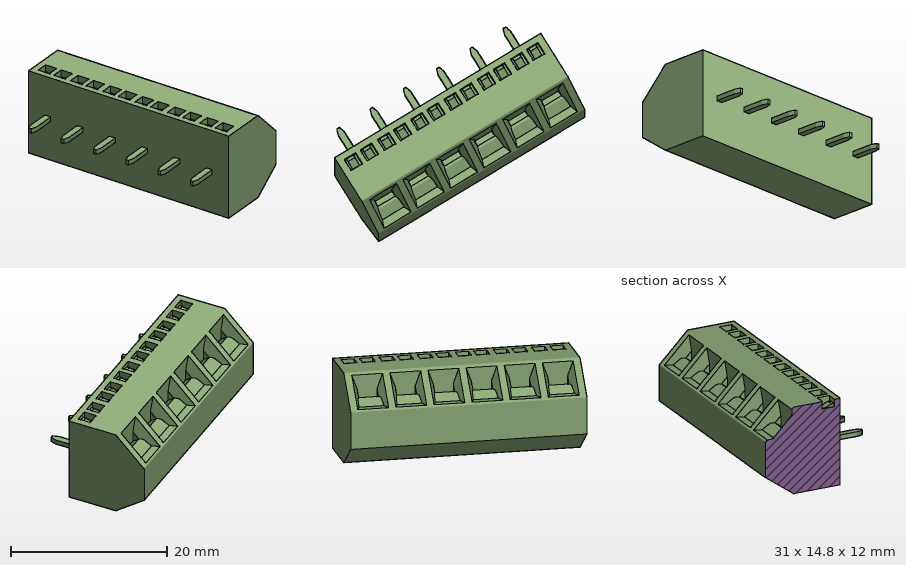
import cadquery as cq
import math

POLES = 6
PITCH = 5.0
BODY_LENGTH = 31.0
BODY_DEPTH = 10.8
BODY_HEIGHT = 12.0
TOP_BEVEL = 4.1
BOTTOM_BEVEL_DEPTH = 4.1
BOTTOM_BEVEL_HEIGHT = 3.0
BEVEL_EDGE_RADIUS = 0.25

ENTRY_WIDTH = 4.05
ENTRY_INNER_WIDTH = 2.6
ENTRY_TAPER_DEPTH = 1.38
ENTRY_BACK_MARGIN = 0.27
ENTRY_RUN = 3.55
ENTRY_LEDGE = 1.04
RAMP_RUN = 0.87
RAMP_ANGLE = 35.0
CREST_RADIUS = 0.97
CREST_END_ANGLE = 15.0

SLOT_SIZE = 1.7
SLOT_OFFSET = 1.2
SLOT_FRONT_MARGIN = 0.85
SLOT_DEPTH = 1.0
KEY_WIDTH = 1.04
KEY_HEIGHT = 0.4
KEY_FLAT = 0.38
KEY_RUN = 1.5

PIN_WIDTH = 0.9
PIN_THICKNESS = 0.65
PIN_LENGTH = 4.0
PIN_TIP_LENGTH = 0.8
PIN_TIP_WIDTH = 0.4
PIN_HEIGHT = 6.0

POLE_POSITIONS = [(i - (POLES - 1) / 2) * PITCH for i in range(POLES)]


def extrude_along_x(profile, width):
    """Extrude a closed YZ profile symmetrically about X = 0."""
    return profile.extrude(width / 2, both=True)


def make_housing():
    profile = (
        cq.Workplane("YZ")
        .moveTo(0, 0)
        .lineTo(BODY_DEPTH - BOTTOM_BEVEL_DEPTH, 0)
        .lineTo(BODY_DEPTH, BOTTOM_BEVEL_HEIGHT)
        .lineTo(BODY_DEPTH, BODY_HEIGHT - TOP_BEVEL)
        .lineTo(BODY_DEPTH - TOP_BEVEL, BODY_HEIGHT)
        .lineTo(0, BODY_HEIGHT)
        .close()
    )
    housing = extrude_along_x(profile, BODY_LENGTH)
    middle = TOP_BEVEL / 2
    bevel_centre = (0, BODY_DEPTH - middle, BODY_HEIGHT - middle)
    bevel_face = cq.selectors.NearestToPointSelector(bevel_centre)
    return housing.faces(bevel_face).edges("|X").fillet(BEVEL_EDGE_RADIUS)


def make_entry_cutter():
    """Wire entry for a pole at X = 0: a side profile limited by tapered side walls."""
    back = BODY_DEPTH - ENTRY_BACK_MARGIN
    ledge_z = BODY_HEIGHT - TOP_BEVEL + ENTRY_BACK_MARGIN
    front = back - ENTRY_RUN

    slope = math.radians(RAMP_ANGLE)
    ramp_start_y = back - ENTRY_LEDGE
    ramp_end_y = ramp_start_y - RAMP_RUN
    ramp_end_z = ledge_z + RAMP_RUN * math.tan(slope)

    centre_y = ramp_end_y - CREST_RADIUS * math.sin(slope)
    centre_z = ramp_end_z - CREST_RADIUS * math.cos(slope)
    crest_end = math.radians(CREST_END_ANGLE)
    crest_end_y = centre_y - CREST_RADIUS * math.sin(crest_end)
    crest_end_z = centre_z + CREST_RADIUS * math.cos(crest_end)
    floor_end_z = crest_end_z - (crest_end_y - front) * math.tan(slope)

    clearance = 1.0
    profile = (
        cq.Workplane("YZ")
        .moveTo(back, ledge_z)
        .lineTo(ramp_start_y, ledge_z)
        .lineTo(ramp_end_y, ramp_end_z)
        .threePointArc((centre_y, centre_z + CREST_RADIUS), (crest_end_y, crest_end_z))
        .lineTo(front, floor_end_z)
        .lineTo(front, ledge_z + ENTRY_RUN)
        .lineTo(front + clearance, ledge_z + ENTRY_RUN + clearance)
        .lineTo(back + clearance, ledge_z + clearance)
        .close()
    )
    prism = extrude_along_x(profile, ENTRY_WIDTH)

    section_plane = cq.Plane(origin=(0, back, ledge_z), xDir=(1, 0, 0), normal=(0, -1, 1))
    half_outer = ENTRY_WIDTH / 2
    half_inner = ENTRY_INNER_WIDTH / 2
    reach = BODY_HEIGHT
    outline = [
        (-half_outer, reach),
        (-half_outer, 0),
        (-half_inner, -ENTRY_TAPER_DEPTH),
        (-half_inner, -reach),
        (half_inner, -reach),
        (half_inner, -ENTRY_TAPER_DEPTH),
        (half_outer, 0),
        (half_outer, reach),
    ]
    walls = cq.Workplane(section_plane).polyline(outline).close().extrude(reach, both=True)
    return prism.intersect(walls)


def make_slot_cutter():
    """Release slot centred on X = 0, leaving a sloped key standing on its floor."""
    floor_z = BODY_HEIGHT - SLOT_DEPTH
    slot = (
        cq.Workplane("XY", origin=(0, SLOT_FRONT_MARGIN + SLOT_SIZE / 2, floor_z))
        .rect(SLOT_SIZE, SLOT_SIZE)
        .extrude(SLOT_DEPTH)
    )
    key_profile = (
        cq.Workplane("YZ", origin=(0, SLOT_FRONT_MARGIN, floor_z))
        .moveTo(0, 0)
        .lineTo(KEY_RUN, 0)
        .lineTo(KEY_FLAT, KEY_HEIGHT)
        .lineTo(0, KEY_HEIGHT)
        .close()
    )
    return slot.cut(extrude_along_x(key_profile, KEY_WIDTH))


def make_pin():
    """Flat solder pin at X = 0 with a tapered tip, pointing along -Y."""
    half_width = PIN_WIDTH / 2
    half_tip = PIN_TIP_WIDTH / 2
    shoulder = PIN_TIP_LENGTH - PIN_LENGTH
    outline = [
        (-half_width, 0),
        (-half_width, shoulder),
        (-half_tip, -PIN_LENGTH),
        (half_tip, -PIN_LENGTH),
        (half_width, shoulder),
        (half_width, 0),
    ]
    return (
        cq.Workplane("XY", origin=(0, 0, PIN_HEIGHT))
        .polyline(outline)
        .close()
        .extrude(PIN_THICKNESS / 2, both=True)
    )


result = make_housing()
entry_cutter = make_entry_cutter()
slot_cutter = make_slot_cutter()
pin = make_pin()
for pole_x in POLE_POSITIONS:
    result = result.cut(entry_cutter.translate((pole_x, 0, 0)))
    for side in (-1, 1):
        result = result.cut(slot_cutter.translate((pole_x + side * SLOT_OFFSET, 0, 0)))
    result = result.union(pin.translate((pole_x, 0, 0)))